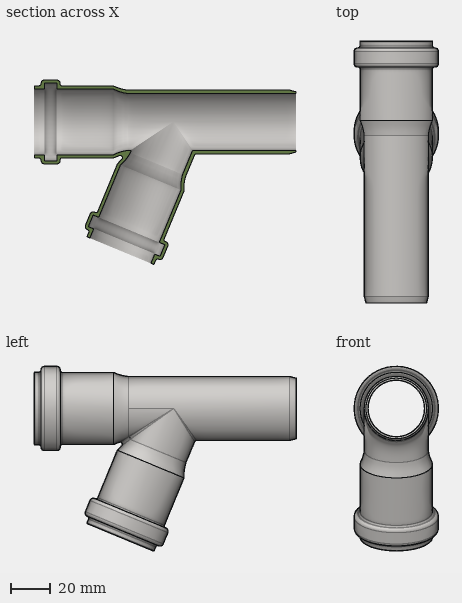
import cadquery as cq
import math

BRANCH_ANGLE = 67.5
SOCKET_REACH = 70.0
RUN_LENGTH = 131.5

TUBE_OD = 32.2
TUBE_BORE = 28.2
TIP_OD = 30.4
TIP_LENGTH = 3.3
CROTCH_FILLET = 1.0

SOCKET_OD = 36.3
SOCKET_BORE = 32.7
SOCKET_DEPTH = 39.8
TAPER_LENGTH = 7.5
FLARE_RADIUS = 22.0
LIP_OD = 36.6
LIP_BORE = 33.0

BEAD_OD = 42.4
SEAL_GROOVE_DIA = 38.8
BEAD_START = 3.4
BEAD_END = 13.1
SOCKET_ROOT_FILLET = 0.9
LIP_ROOT_FILLET = 1.0
MOUTH_FILLET = 0.5
WALL = (BEAD_OD - SEAL_GROOVE_DIA) / 2

tube_r = TUBE_OD / 2
bore_r = TUBE_BORE / 2
socket_r = SOCKET_OD / 2
socket_bore_r = SOCKET_BORE / 2
lip_r = LIP_OD / 2
lip_bore_r = LIP_BORE / 2
bead_r = BEAD_OD / 2
groove_r = SEAL_GROOVE_DIA / 2
taper_start = SOCKET_REACH - SOCKET_DEPTH
taper_end = taper_start - TAPER_LENGTH
spigot_tip = SOCKET_REACH - RUN_LENGTH


def height(depth):
    """Axial position of a point at the given depth from the socket mouth."""
    return SOCKET_REACH - depth


def add_taper(profile, small_r, large_r):
    """Draw along the tube and up its hollow flare to the start of the socket."""
    return profile.lineTo(small_r, taper_end).radiusArc((large_r, taper_start), FLARE_RADIUS)


def rounded_corner(profile, corner, heading_in, heading_out, radius):
    """Draw up to a square corner and round it; headings are unit directions of travel."""
    bulge = radius * (1 - math.sqrt(0.5))
    x, z = corner
    start = (x - radius * heading_in[0], z - radius * heading_in[1])
    finish = (x + radius * heading_out[0], z + radius * heading_out[1])
    middle = (
        x + bulge * (heading_out[0] - heading_in[0]),
        z + bulge * (heading_out[1] - heading_in[1]),
    )
    return profile.lineTo(*start).threePointArc(middle, finish)


def revolve_profile(profile):
    """Turn a profile about Z, with the seam on -X so that the crotch edges meet it cleanly."""
    body = profile.close().revolve(360, (0, 0), (0, 1))
    return body.rotate((0, 0, 0), (0, 0, 1), 180)


def socket_outside(foot, foot_r):
    """Solid outer body of a tube from its foot to the socket mouth."""
    profile = cq.Workplane("XZ").moveTo(0, foot).lineTo(foot_r, foot)
    if foot_r < tube_r:
        profile = profile.lineTo(tube_r, foot + TIP_LENGTH)
    profile = add_taper(profile, tube_r, socket_r)
    profile = rounded_corner(profile, (socket_r, height(BEAD_END)), (0, 1), (1, 0), SOCKET_ROOT_FILLET)
    profile = rounded_corner(profile, (bead_r, height(BEAD_END)), (1, 0), (0, 1), WALL)
    profile = rounded_corner(profile, (bead_r, height(BEAD_START)), (0, 1), (-1, 0), WALL)
    profile = rounded_corner(profile, (lip_r, height(BEAD_START)), (-1, 0), (0, 1), LIP_ROOT_FILLET)
    profile = rounded_corner(profile, (lip_r, SOCKET_REACH), (0, 1), (-1, 0), MOUTH_FILLET)
    profile = profile.lineTo(0, SOCKET_REACH)
    return revolve_profile(profile)


def socket_inside(foot):
    """Bore of a tube with its socket and seal groove, to be cut away."""
    profile = cq.Workplane("XZ").moveTo(0, foot).lineTo(bore_r, foot)
    profile = add_taper(profile, bore_r, socket_bore_r)
    profile = (
        profile.lineTo(socket_bore_r, height(BEAD_END - WALL))
        .lineTo(groove_r, height(BEAD_END - WALL))
        .lineTo(groove_r, height(BEAD_START + WALL))
        .lineTo(lip_bore_r, height(BEAD_START + WALL))
        .lineTo(lip_bore_r, SOCKET_REACH)
        .lineTo(0, SOCKET_REACH)
    )
    return revolve_profile(profile)


def along_run(body):
    return body.rotate((0, 0, 0), (1, 0, 0), -90)


def along_branch(body):
    return body.rotate((0, 0, 0), (1, 0, 0), -90 - BRANCH_ANGLE)


def filleted_tee():
    """Solid run and branch, joined and filleted along the crotch."""
    run = along_run(socket_outside(spigot_tip, TIP_OD / 2))
    branch = along_branch(socket_outside(0, tube_r))
    tee = run.union(branch)
    crotch = [edge for edge in tee.edges().vals() if edge.geomType() in ("ELLIPSE", "BSPLINE")]
    return tee.newObject(crotch).fillet(CROTCH_FILLET)


result = (
    filleted_tee()
    .cut(along_run(socket_inside(spigot_tip)))
    .cut(along_branch(socket_inside(0)))
)